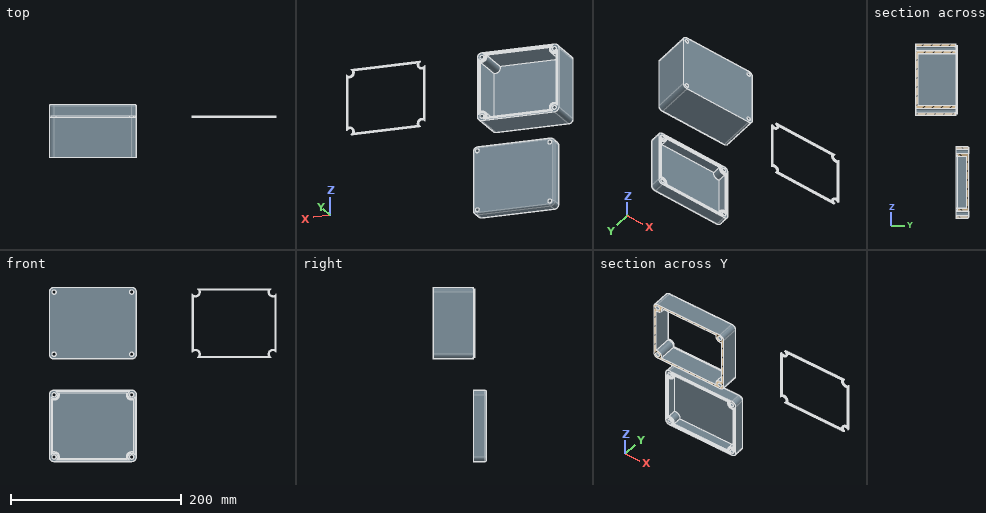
import cadquery as cq
length = 102.0
height = 84.0
corner_radius = 5.5
wall = 3.7
floor = 3.0
screw_diameter = 4.8

box_depth = 47.3
lid_depth = 15.1
lid_edge_fillet = 2.0

seal_inset = 1.9
seal_width = 1.3
seal_thickness = 1.5
seal_notch_diameter = 8.8

overall_length = 265.5
overall_height = 204.2
lid_drop = overall_height - height
gasket_shift = overall_length - length + seal_inset

screw_x = length / 2 - corner_radius
screw_z = height / 2 - corner_radius
screw_points = [(x, z) for x in (-screw_x, screw_x) for z in (-screw_z, screw_z)]
seal_notch_radius = seal_notch_diameter / 2
corner_points = [(x, z) for x in (-length / 2, length / 2) for z in (-height / 2, height / 2)]
boss_radius = seal_notch_radius + wall - seal_inset


def plane_at(y):
    """Sketch plane at depth y whose extrusions run toward +Y; its second axis is -Z."""
    return cq.Workplane("XZ", origin=(0, y, 0)).workplane(invert=True)


def block(y, depth):
    """Rounded rectangular block of the full outline."""
    return plane_at(y).rect(length, height).extrude(depth).edges("|Y").fillet(corner_radius)


def notched_block(y, depth, inset, notch_radius):
    """Block inset from the outline; at every screw a round notch takes off the corner."""
    base = plane_at(y).rect(length - 2 * inset, height - 2 * inset).extrude(depth)
    notches = plane_at(y).pushPoints(screw_points).circle(notch_radius).extrude(depth)
    corners = plane_at(y).pushPoints(corner_points).rect(2 * corner_radius, 2 * corner_radius).extrude(depth)
    return base.cut(notches).cut(corners)


def seal_ring(y):
    """Thin frame that follows the outline and passes inside the screws."""
    outer = notched_block(y, seal_thickness, seal_inset, seal_notch_radius)
    inner = notched_block(y, seal_thickness, seal_inset + seal_width, seal_notch_radius + seal_width)
    return outer.cut(inner)


def screw_holes(y, depth):
    """Cutters for the through holes in the four corners."""
    return plane_at(y).pushPoints(screw_points).circle(screw_diameter / 2).extrude(depth)


def make_box():
    """Box open toward +Y, with the sealing tongue around its mouth."""
    cavity = notched_block(floor, box_depth - floor, wall, boss_radius)
    shell = block(0, box_depth).cut(cavity).cut(screw_holes(0, box_depth))
    return shell.union(seal_ring(box_depth))


def make_lid():
    """Lid open toward -Y at y = box_depth, with the sealing groove in its rim."""
    shell = block(box_depth, lid_depth).faces(">Y").edges().fillet(lid_edge_fillet)
    cavity = notched_block(box_depth, lid_depth - floor, wall, boss_radius)
    shell = shell.cut(cavity).cut(screw_holes(box_depth, lid_depth))
    return shell.cut(seal_ring(box_depth))


box = make_box()
lid = make_lid().translate((0, 0, -lid_drop))
gasket = seal_ring(box_depth).translate((gasket_shift, 0, 0))

result = cq.Compound.makeCompound([box.val(), lid.val(), gasket.val()])